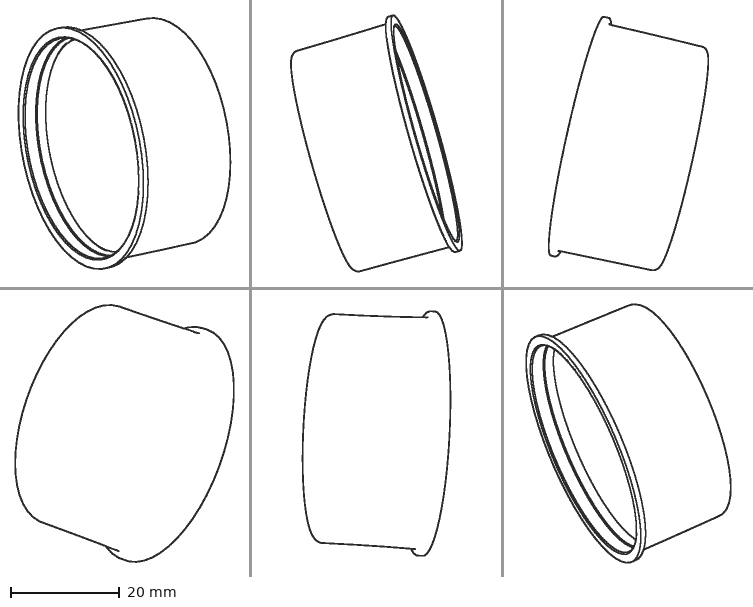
import cadquery as cq
import math

rim_diameter = 45.05
height = 20.0
rim_radius = rim_diameter / 2
open_y = -height / 2
closed_y = height / 2

flange_thickness = 1.13
flange_edge_radius = 0.3
root_radius = 0.23
base_radius = 21.35
end_radius = 21.1
end_edge_radius = 1.25

side_wall = 0.9
floor_thickness = 0.65
floor_y = closed_y - floor_thickness
floor_corner_radius = 0.5

mouth_bevel_width = 0.23
mouth_bevel_depth = 0.25
seat_radius = 20.6
seat_depth = 2.55

bead_foot_radius = base_radius - side_wall
bead_start_depth = 2.8
bead_crest_radius = 19.9
bead_crest_depth = 3.55
bead_end_depth = 4.6

platform_base_radius = 16.9
platform_top_radius = 13.05
platform_height = 1.2


def revolve_about_y(profile):
    """Turn a closed radius-height profile into a full solid of revolution."""
    return profile.close().revolve(360, (0, 0, 0), (0, 1, 0))


def edge_at(radius, y):
    """Selector for the circular edge of the given radius at height y."""
    margin = 0.05
    return cq.selectors.BoxSelector(
        (-radius - margin, y - margin, -radius - margin),
        (radius + margin, y + margin, radius + margin),
        boundingbox=True,
    )


def make_outer_body():
    """Solid drafted body with its flange and rounded edges."""
    flange_back_y = open_y + flange_thickness
    body = revolve_about_y(
        cq.Workplane("XY")
        .moveTo(0, open_y)
        .lineTo(rim_radius, open_y)
        .lineTo(rim_radius, flange_back_y)
        .lineTo(base_radius, flange_back_y)
        .lineTo(end_radius, closed_y)
        .lineTo(0, closed_y)
    )
    body = body.faces(">Y").edges().fillet(end_edge_radius)
    body = body.edges(edge_at(base_radius, flange_back_y)).fillet(root_radius)
    return body.edges(edge_at(rim_radius, flange_back_y)).fillet(flange_edge_radius)


def flank_midpoint(foot, crest):
    """Middle of the bead flank arc, which runs parallel to Y at the crest."""
    rise = foot[0] - crest[0]
    run = foot[1] - crest[1]
    arc_radius = (rise**2 + run**2) / (2 * rise)
    half_angle = math.atan2(rise, abs(run))
    mid_run = math.copysign(arc_radius * math.sin(half_angle), run)
    return crest[0] + arc_radius * (1 - math.cos(half_angle)), crest[1] + mid_run


def make_cavity():
    """Space inside the cup, necked in by the snap bead near the mouth."""
    bead_crest = (bead_crest_radius, open_y + bead_crest_depth)
    bead_end = (bead_foot_radius, open_y + bead_end_depth)
    bead_start = (bead_foot_radius, open_y + bead_start_depth)
    cavity = revolve_about_y(
        cq.Workplane("XY")
        .moveTo(*bead_end)
        .lineTo(end_radius - side_wall, floor_y)
        .lineTo(0, floor_y)
        .lineTo(0, open_y)
        .lineTo(seat_radius + mouth_bevel_width, open_y)
        .lineTo(seat_radius, open_y + mouth_bevel_depth)
        .lineTo(seat_radius, open_y + seat_depth)
        .lineTo(*bead_start)
        .threePointArc(flank_midpoint(bead_start, bead_crest), bead_crest)
        .threePointArc(flank_midpoint(bead_end, bead_crest), bead_end)
    )
    return cavity.faces(">Y").edges().fillet(floor_corner_radius)


def make_platform():
    """Frustum standing on the cavity floor and narrowing toward the mouth."""
    platform_top_y = floor_y - platform_height
    return revolve_about_y(
        cq.Workplane("XY")
        .moveTo(0, floor_y)
        .lineTo(platform_base_radius, floor_y)
        .lineTo(platform_top_radius, platform_top_y)
        .lineTo(0, platform_top_y)
    )


result = make_outer_body().cut(make_cavity()).union(make_platform())